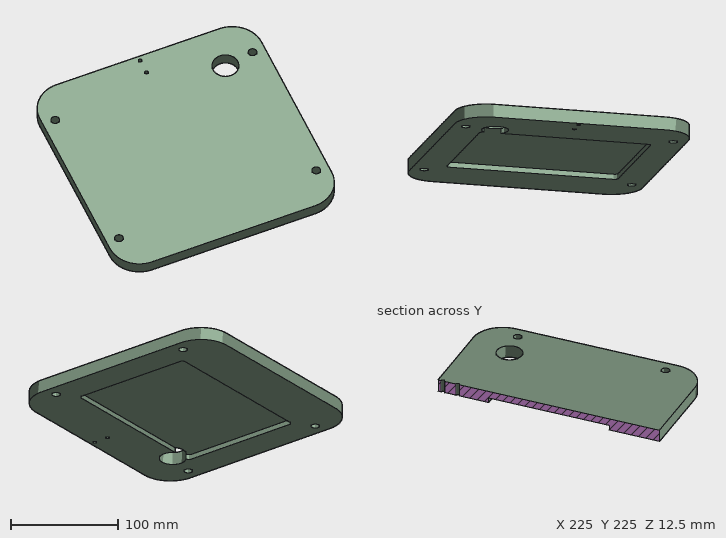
import cadquery as cq

side = 225.0
thickness = 12.5
corner_radius = 30.0

mounting_diameter = 8.0
mounting_spacing_x = 150.0
mounting_spacing_y = 200.0
port_diameter = 25.0
port_offset = 70.6
pin_diameter = 3.4
pin_centers = [(-107.5, 0), (-92.5, 0)]

recess_length_x = 122.5
recess_length_y = 165.0
recess_depth = 5.0
recess_corner_diameter = 6.5


def rounded_block(length_x, length_y, height, radius):
    """Block standing on Z = 0 with rounded vertical edges."""
    block = cq.Workplane("XY").box(length_x, length_y, height, centered=(True, True, False))
    return block.edges("|Z").fillet(radius)


def hole_cutters(centers, diameter):
    """Cylinders as tall as the plate, one at each center."""
    return cq.Workplane("XY").pushPoints(centers).circle(diameter / 2).extrude(thickness)


mounting_centers = [
    (sign_x * mounting_spacing_x / 2, sign_y * mounting_spacing_y / 2)
    for sign_x in (-1, 1)
    for sign_y in (-1, 1)
]

plate = rounded_block(side, side, thickness, corner_radius)
plate = plate.cut(rounded_block(recess_length_x, recess_length_y, recess_depth, recess_corner_diameter / 2))
plate = plate.cut(hole_cutters(mounting_centers, mounting_diameter))
plate = plate.cut(hole_cutters([(-port_offset, port_offset)], port_diameter))
plate = plate.cut(hole_cutters(pin_centers, pin_diameter))

result = plate